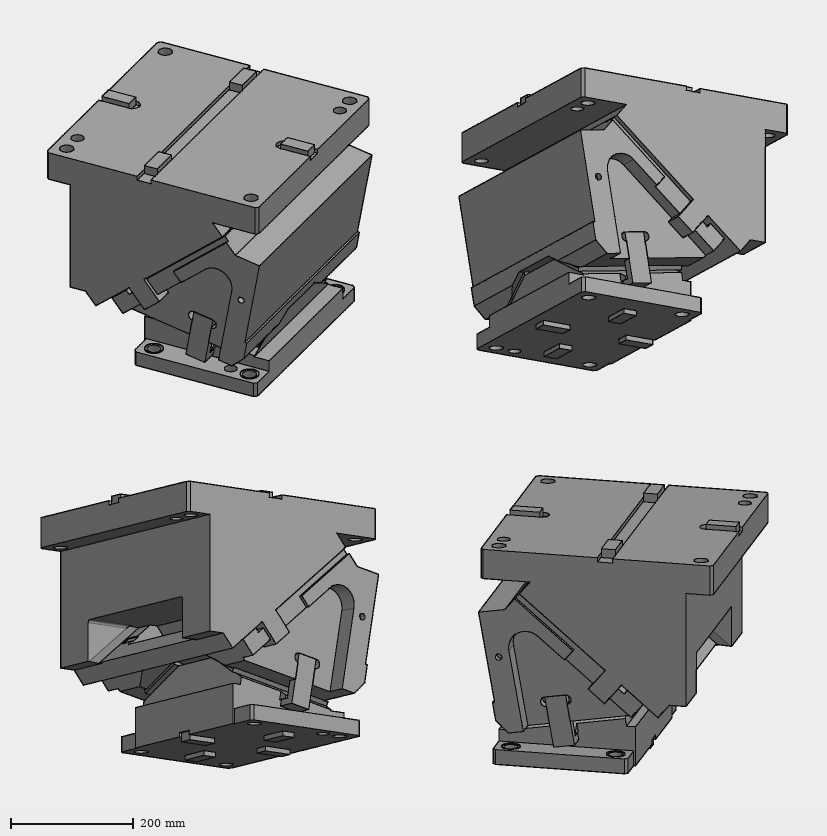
import cadquery as cq
import math


total_height = 393.0
half_width = 200.0
work_angle = 40.0
guide_angle = -10.0
work_origin = (92.0, 117.0)
guide_origin = (201.5, 97.0)

key_rise = 8.0
key_length = 50.5
key_width = 23.5
key_slot_width = 25.5
key_slot_depth = 7.0
key_end_gap = 5.0

flange_length = 391.0
flange_thickness = 50.5
corner_chamfer = 5.0
body_left = 45.0
body_bottom = 139.5
work_length = 305.0
tip_thickness = 29.0
groove_x = 181.0
groove_key_y = 151.0
tooth_start = 80.0
tooth_end = 116.0
tooth_depth = 44.5
hole_inset = 25.0
hole_diameter = 23.0
dowel_diameter = 21.0
left_dowel_y = -136.5
right_dowel_y = 140.0
window_half_width = 126.0
window_top = 209.0
window_corner_radius = 5.0
window_floor = 32.0
undercut_width = 3.5
undercut_height = 14.5
floor_groove_start = 57.0
floor_groove_end = 72.0
floor_groove_depth = 1.5
recess_half_width = 99.0
recess_start = 46.0

slider_start = 32.5
slider_top = 210.0
slider_right = 158.5
heel_right = 162.0
heel_top = 54.5
heel_chamfer_height = 23.0
heel_chamfer_length = 17.5
core_half_width = 167.0
shoulder_half_width = 193.5
shoulder_drop = 2.5
rebate_depth = 12.0
wing_start = 177.0
pocket_top = -34.0
pocket_wall = 119.0
pocket_radius = 30.0
notch_width = 13.0
notch_depth = 11.0
pin_hole = (138.0, 130.5)
pin_hole_diameter = 11.0
pin_hole_depth = 12.0

strap_left = 47.0
strap_right = 82.5
strap_top = 45.0
strap_bottom = -41.5
strap_outer = 166.0
strap_inner = 151.0
foot_inner = 135.5
foot_thickness = 11.5
relief_radius = 8.0

roof_angle = 30.0
roof_half_width = 131.0
roof_flat_half_width = 48.0
eaves = -15.0
groove_half_width = 114.5
liner_bottom = -7.0
liner_start = -45.5
liner_end = 152.0

base_left = 146.0
base_right = 376.0
base_left_top = 75.0
base_right_top = 53.5
roof_start = -36.0
roof_end = 152.0
foot_plate_left = 149.0
foot_plate_half_width = 176.5
foot_plate_thickness = 25.5
base_hole_y = 152.0
base_dowel_x = 316.0
base_dowel_diameter = 21.0
counterbore_diameter = 31.0
counterbore_depth = 1.0
base_key_x = 261.0
base_key_y = 105.5
base_right_key_start = 305.5
tab_outer = 146.0
tab_bottom = -29.5

flange_top = total_height - key_rise
flange_bottom = flange_top - flange_thickness
base_bottom = key_rise
foot_plate_top = base_bottom + foot_plate_thickness
roof_slope = math.tan(math.radians(roof_angle))
margin = 4.0


def tilted(origin, angle, along, above):
    """X, Z of a point given along and above a line through origin at an angle."""
    a = math.radians(angle)
    x = origin[0] + along * math.cos(a) - above * math.sin(a)
    z = origin[1] + along * math.sin(a) + above * math.cos(a)
    return (x, z)


def on_work(along, above):
    return tilted(work_origin, work_angle, along, above)


def on_guide(along, above):
    return tilted(guide_origin, guide_angle, along, above)


def meet(point_a, angle_a, point_b, angle_b):
    """Crossing of two lines in the XZ plane, each given by a point and an angle."""
    ax, az = math.cos(math.radians(angle_a)), math.sin(math.radians(angle_a))
    bx, bz = math.cos(math.radians(angle_b)), math.sin(math.radians(angle_b))
    dx, dz = point_b[0] - point_a[0], point_b[1] - point_a[1]
    t = (dx * bz - dz * bx) / (ax * bz - az * bx)
    return (point_a[0] + t * ax, point_a[1] + t * az)


def spread(outline, y_near, y_far):
    """Closed XZ outline (a Workplane on XZ) extruded from y_near to y_far."""
    return outline.extrude(y_near - y_far).translate((0, y_near, 0))


def prism(points, y_near, y_far):
    return spread(cq.Workplane("XZ").polyline(points).close(), y_near, y_far)


def middle(points, half):
    return prism(points, -half, half)


def both_sides(shape):
    return shape.union(shape.mirror("XZ"))


def sides(points, inner, outer):
    return both_sides(prism(points, inner, outer))


def rectangle(frame, left, right, bottom, top):
    """Corners of a rectangle in one of the tilted frames."""
    return [frame(left, bottom), frame(right, bottom), frame(right, top), frame(left, top)]


def box(x_min, x_max, y_min, y_max, z_min, z_max):
    size = (x_max - x_min, y_max - y_min, z_max - z_min)
    return cq.Workplane("XY").box(*size, centered=False).translate((x_min, y_min, z_min))


def bore(x, y, diameter, z_min, z_max):
    return cq.Workplane("XY", origin=(x, y, z_min)).circle(diameter / 2).extrude(z_max - z_min)


def tilted_section(origin, angle, points):
    """Maker of solids with a constant (Y, height) section, running along a tilted line."""
    a = math.radians(angle)

    def run(start, end):
        x, z = tilted(origin, angle, start, 0)
        plane = cq.Plane(origin=(x, 0, z), xDir=(0, 1, 0), normal=(math.cos(a), 0, math.sin(a)))
        return cq.Workplane(plane).polyline(points).close().extrude(end - start)
    return run


def guide_section(points):
    return tilted_section(guide_origin, guide_angle, points)


def roof_height(y):
    return eaves + (roof_half_width - y) * roof_slope


def groove_height(y):
    return (groove_half_width - y) * roof_slope


def end_slot(x_edge, x_center):
    """Key slot from the flange edge to a round end."""
    half = key_slot_width / 2
    bottom = flange_top - key_slot_depth
    straight = box(min(x_edge, x_center), max(x_edge, x_center), -half, half, bottom, flange_top)
    return straight.union(bore(x_center, 0, key_slot_width, bottom, flange_top))


def driver_window(driver):
    lip_corner = meet((0, body_bottom), 0, on_work(0, 0), work_angle + 90)
    floor_right = meet(on_work(0, window_floor), work_angle, (0, window_top), 0)
    opening = middle([(0, body_bottom), lip_corner, on_work(0, window_floor), floor_right,
                      (0, window_top)], window_half_width)
    opening = opening.edges("|X and >Z").fillet(window_corner_radius)
    recess = middle(rectangle(on_work, recess_start, tooth_end, 0, window_floor), recess_half_width)
    below_top = box(0, flange_length, -half_width, half_width, 0, window_top)
    driver = driver.cut(opening).cut(recess.intersect(below_top))

    flare_top = window_floor + undercut_height
    half = window_half_width
    flare = tilted_section(work_origin, work_angle, [
        (-half, flare_top), (-half - undercut_width, window_floor),
        (half + undercut_width, window_floor), (half, flare_top)])
    driver = driver.cut(flare(-tip_thickness, tooth_end).intersect(below_top))
    groove = rectangle(on_work, floor_groove_start, floor_groove_end,
                       window_floor - floor_groove_depth, window_floor)
    return driver.cut(middle(groove, half))


def make_driver():
    driver = box(0, flange_length, -half_width, half_width, flange_bottom, flange_top)
    driver = driver.edges("|Z").chamfer(corner_chamfer)
    end_face = meet(on_work(work_length, 0), work_angle + 90, (0, flange_bottom), 0)
    body = [(body_left, flange_bottom), (body_left, body_bottom),
            meet((0, body_bottom), 0, on_work(0, 0), work_angle + 90),
            on_work(0, 0), on_work(work_length, 0), end_face]
    driver = driver.union(middle(body, half_width))
    tooth = rectangle(on_work, tooth_start, tooth_end, -tooth_depth, margin)
    driver = driver.union(sides(tooth, core_half_width, half_width))
    driver = driver_window(driver)

    slot_bottom = flange_top - key_slot_depth
    groove_half = key_slot_width / 2
    driver = driver.cut(box(groove_x - groove_half, groove_x + groove_half,
                            -half_width, half_width, slot_bottom, flange_top))
    slot_center = key_end_gap + key_length
    driver = driver.cut(end_slot(0, slot_center))
    driver = driver.cut(end_slot(flange_length, flange_length - slot_center))
    for y in (-groove_key_y, groove_key_y):
        driver = driver.union(box(groove_x - key_width / 2, groove_x + key_width / 2,
                                  y - key_length / 2, y + key_length / 2, slot_bottom, total_height))
    for x in (key_end_gap, flange_length - slot_center):
        driver = driver.union(box(x, x + key_length, -key_width / 2, key_width / 2,
                                  slot_bottom, total_height))

    left, right = hole_inset, flange_length - hole_inset
    for x in (left, right):
        for y in (hole_inset - half_width, half_width - hole_inset):
            driver = driver.cut(bore(x, y, hole_diameter, flange_bottom, flange_top))
    for x, y in ((left, left_dowel_y), (right, right_dowel_y)):
        driver = driver.cut(bore(x, y, dowel_diameter, flange_bottom, flange_top))
    return driver


def slider_blank():
    outline = [on_work(slider_start, 0), on_work(work_length, 0),
               meet(on_work(work_length, 0), work_angle + 90, on_guide(0, slider_top), guide_angle),
               on_guide(slider_right, slider_top), on_guide(slider_right, heel_top),
               on_guide(heel_right, heel_top), on_guide(heel_right, heel_chamfer_height),
               on_guide(heel_right - heel_chamfer_length, 0),
               meet(on_work(slider_start, 0), work_angle + 90, on_guide(0, 0), guide_angle)]
    return middle(outline, half_width)


def side_pockets():
    """Pockets below the wings, with a round end between the top edge and the right wall."""
    corner = meet(on_work(0, pocket_top), work_angle, on_guide(pocket_wall, 0), guide_angle + 90)
    wall_angle = guide_angle + 90
    half_corner = (wall_angle - work_angle) / 2
    tangent = pocket_radius / math.tan(math.radians(half_corner))
    to_arc = pocket_radius / math.sin(math.radians(half_corner)) - pocket_radius
    outline = (cq.Workplane("XZ").moveTo(*on_work(0, pocket_top))
               .lineTo(*tilted(corner, work_angle, -tangent, 0))
               .threePointArc(tilted(corner, work_angle + half_corner, -to_arc, 0),
                              tilted(corner, wall_angle, -tangent, 0))
               .lineTo(*on_guide(pocket_wall, -margin))
               .lineTo(*on_guide(-half_width, -margin)).close())
    return both_sides(spread(outline, core_half_width, half_width))


def add_straps(slider):
    """L-shaped straps, each set in a recess with round corner reliefs."""
    relief_level = strap_top - relief_radius
    recess = prism(rectangle(on_guide, strap_left, strap_right,
                             relief_level - relief_radius, strap_top), strap_inner, core_half_width)
    for along in (strap_left, strap_right):
        relief = cq.Workplane("XZ").center(*on_guide(along, relief_level)).circle(relief_radius)
        recess = recess.union(spread(relief, strap_inner, core_half_width))
    leg = rectangle(on_guide, strap_left, strap_right, strap_bottom, strap_top)
    leg_channel = rectangle(on_guide, strap_left, strap_right, -margin, strap_top)
    foot = rectangle(on_guide, strap_left, strap_right, strap_bottom, strap_bottom + foot_thickness)
    slider = slider.cut(both_sides(recess)).cut(sides(leg_channel, strap_inner, core_half_width))
    slider = slider.union(sides(leg, strap_inner, strap_outer))
    return slider.union(sides(foot, foot_inner, strap_inner))


def add_guide_groove(slider):
    """V groove along the underside, lined with a sloping strip on each flank."""
    flat, half = roof_flat_half_width, groove_half_width
    groove = guide_section([(-half, 0), (-half, -margin), (half, -margin), (half, 0),
                            (flat, groove_height(flat)), (-flat, groove_height(flat))])
    lower_edge = roof_half_width - (liner_bottom - eaves) / roof_slope
    upper_edge = lower_edge - liner_bottom * roof_slope
    liner = guide_section([(upper_edge, 0), (lower_edge, liner_bottom), (flat, roof_height(flat)),
                           (flat, groove_height(flat)), (half, 0)])
    slider = slider.cut(groove(-half_width, half_width))
    return slider.union(both_sides(liner(liner_start, liner_end)))


def make_slider():
    slider = slider_blank().cut(side_pockets())
    tooth_gap = rectangle(on_work, tooth_start, tooth_end, -tooth_depth, margin)
    slider = slider.cut(sides(tooth_gap, core_half_width, half_width))

    shoulder = rectangle(on_work, 0, work_length, -shoulder_drop, margin)
    slider = slider.cut(sides(shoulder, core_half_width, half_width))
    rebate = rectangle(on_work, 0, work_length, -rebate_depth, margin)
    slider = slider.cut(sides(rebate, shoulder_half_width, half_width))
    narrow = rectangle(on_work, 0, wing_start, pocket_top - margin, margin)
    slider = slider.cut(sides(narrow, shoulder_half_width, half_width))
    notch = rectangle(on_work, tooth_start - notch_width, tooth_start, -notch_depth, margin)
    slider = slider.cut(sides(notch, core_half_width, half_width))

    pin = cq.Workplane("XZ").center(*on_guide(*pin_hole)).circle(pin_hole_diameter / 2)
    slider = slider.cut(both_sides(spread(pin, half_width - pin_hole_depth, half_width)))
    return add_straps(add_guide_groove(slider))


def make_base():
    column = [(base_left, base_bottom), (base_right, base_bottom), (base_right, base_right_top),
              meet(on_guide(roof_end, 0), guide_angle + 90, (0, base_right_top), 0),
              on_guide(roof_end, eaves), on_guide(roof_start, eaves),
              meet(on_guide(roof_start, 0), guide_angle + 90, (0, base_left_top), 0),
              (base_left, base_left_top)]
    base = middle(column, roof_half_width)
    flat = roof_flat_half_width
    roof = guide_section([(-roof_half_width, eaves), (roof_half_width, eaves),
                          (flat, roof_height(flat)), (-flat, roof_height(flat))])
    base = base.union(roof(roof_start, roof_end))

    tab = guide_section([(roof_half_width, eaves), (tab_outer, roof_height(tab_outer)),
                         (tab_outer, tab_bottom), (roof_half_width, tab_bottom)])
    base = base.union(both_sides(tab(strap_left, strap_right)))

    plate = box(foot_plate_left, base_right, -foot_plate_half_width, foot_plate_half_width,
                base_bottom, foot_plate_top).edges("|Z").chamfer(corner_chamfer)
    base = base.union(plate)
    for x in (foot_plate_left + hole_inset, base_right - hole_inset):
        for y in (-base_hole_y, base_hole_y):
            base = base.cut(bore(x, y, hole_diameter, base_bottom, foot_plate_top))
            base = base.cut(bore(x, y, counterbore_diameter,
                                 foot_plate_top - counterbore_depth, foot_plate_top))
    base = base.cut(bore(base_dowel_x, -base_hole_y, base_dowel_diameter, base_bottom, foot_plate_top))

    slot_top = base_bottom + key_slot_depth
    slot_half = key_slot_width / 2
    base = base.cut(box(base_left, foot_plate_left + key_length, -slot_half, slot_half,
                        base_bottom, slot_top))
    half = key_width / 2
    for x in (foot_plate_left, base_right_key_start):
        base = base.union(box(x, x + key_length, -half, half, 0, slot_top))
    for y in (-base_key_y, base_key_y):
        base = base.union(box(base_key_x - half, base_key_x + half,
                              y - key_length / 2, y + key_length / 2, 0, slot_top))
    return base


driver = make_driver()
slider = make_slider()
base = make_base()
result = cq.Compound.makeCompound([driver.solids().val(), slider.solids().val(), base.solids().val()])